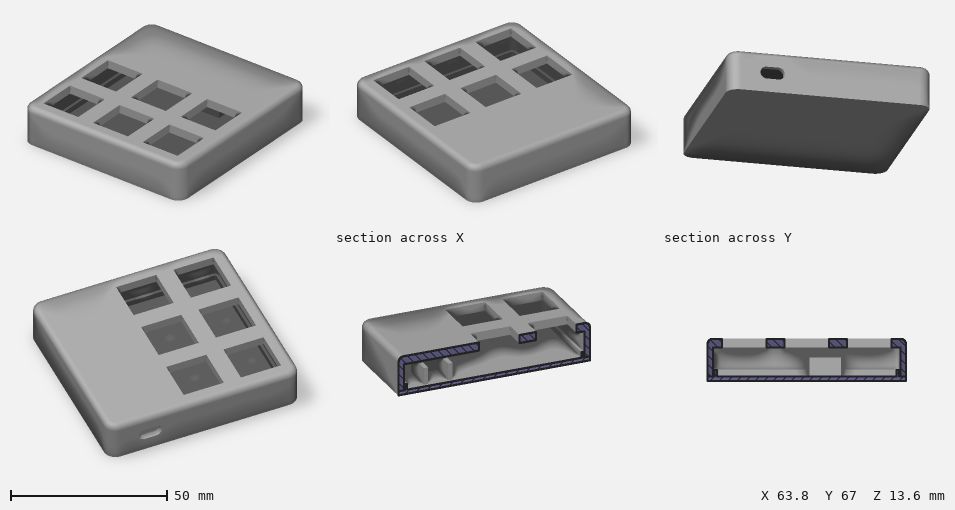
import cadquery as cq

case_width = 63.8
case_length = 67.05
case_height = 13.6
corner_radius = 4.0
top_edge_radius = 2.0

plate_thickness = 1.6
lip_height = 2.0
lip_thickness = 1.0
lip_clearance = 0.2

wall_thickness = 2.0
roof_thickness = 3.0
cavity_width = case_width - 2 * wall_thickness
cavity_length = case_length - 2 * wall_thickness
cavity_corner_radius = corner_radius - wall_thickness
cavity_height = case_height - plate_thickness - roof_thickness

key_size = 14.0
key_pitch = 20.0
key_columns = 3
key_rows = 2
key_field_y = -11.75

port_width = 8.0
port_height = 4.0
port_y = 19.05
port_z = 6.5

cradle_wall = 1.55
cradle_slot_width = 7.0
cradle_width = cradle_slot_width + 2 * cradle_wall
cradle_length = cradle_width
cradle_end_x = 11.05
cradle_top_z = 7.45


def rounded_block(size_x, size_y, height, radius, base_z=0):
    """Upright block centred on the Z axis, with rounded vertical edges."""
    block = cq.Workplane("XY").workplane(offset=base_z).rect(size_x, size_y).extrude(height)
    return block.edges("|Z").fillet(radius)


def locating_lip():
    """Closed rim on the plate that fits inside the housing walls."""
    outer_width = cavity_width - 2 * lip_clearance
    outer_length = cavity_length - 2 * lip_clearance
    outer_radius = cavity_corner_radius - lip_clearance
    outer = rounded_block(outer_width, outer_length, lip_height, outer_radius, plate_thickness)
    inner = rounded_block(
        outer_width - 2 * lip_thickness,
        outer_length - 2 * lip_thickness,
        lip_height,
        outer_radius - lip_thickness,
        plate_thickness,
    )
    return outer.cut(inner)


def cradle():
    """Block with a slot that leaves two side walls and an end wall."""
    height = cradle_top_z - plate_thickness
    floor = cq.Workplane("XY").workplane(offset=plate_thickness)
    center_x = cradle_end_x - cradle_length / 2
    block = floor.center(center_x, port_y).rect(cradle_length, cradle_width).extrude(height)
    slot = (
        floor.center(center_x - cradle_wall, port_y)
        .rect(cradle_length, cradle_slot_width)
        .extrude(height)
    )
    return block.cut(slot)


def make_base():
    plate = rounded_block(case_width, case_length, plate_thickness, corner_radius)
    return plate.union(locating_lip()).union(cradle())


def key_openings():
    return (
        cq.Workplane("XY")
        .center(0, key_field_y)
        .rarray(key_pitch, key_pitch, key_columns, key_rows)
        .rect(key_size, key_size)
        .extrude(case_height)
    )


def cable_port():
    """Slot with round ends, cut through the -X wall."""
    return (
        cq.Workplane("YZ")
        .workplane(offset=-case_width / 2)
        .center(port_y, port_z)
        .slot2D(port_width, port_height)
        .extrude(wall_thickness)
    )


def make_housing():
    shell_height = case_height - plate_thickness
    shell = rounded_block(case_width, case_length, shell_height, corner_radius, plate_thickness)
    shell = shell.faces(">Z").edges().fillet(top_edge_radius)
    cavity = rounded_block(
        cavity_width, cavity_length, cavity_height, cavity_corner_radius, plate_thickness
    )
    return shell.cut(cavity).cut(key_openings()).cut(cable_port())


base = make_base()
housing = make_housing()

result = cq.Compound.makeCompound([base.val(), housing.val()])